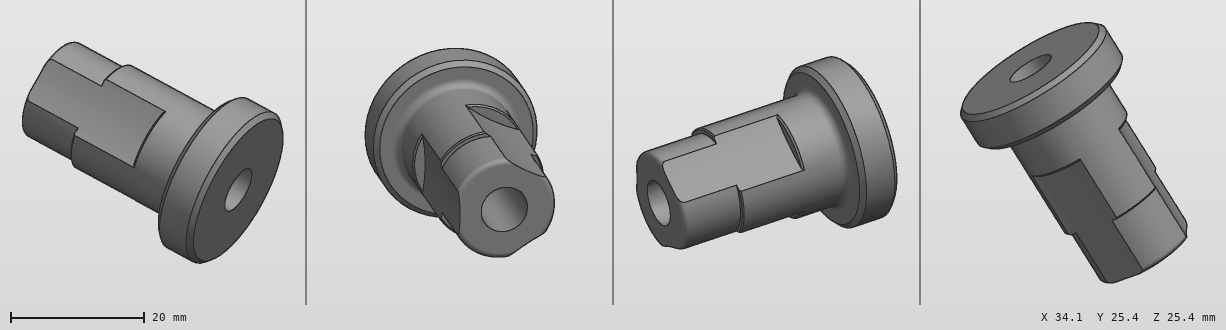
import cadquery as cq
import math

total_length = 34.13
tip_length = 9.6
flat_length = 20.58
flange_thickness = 6.38
flange_start = total_length - flange_thickness

tip_radius = 7.95
body_radius = 8.75
flange_radius = 12.7
bore_radius = 3.6

tip_round = 0.8
shoulder_chamfer = 0.2
flat_bevel_length = 0.3
flat_bevel_depth = 0.25
neck_fillet = 1.23
flange_chamfer = 0.8

ARC_INSET = 1 - math.sqrt(0.5)

flat_count = 3
flat_depth_radius = 6.85
flat_curve_radius = 27.3


def turned_body():
    """Solid of revolution about X, with a rounded tip and a chamfered flange."""
    tip_inset = tip_round * ARC_INSET
    tip_mid = (tip_inset, tip_radius - tip_inset)
    neck_inset = neck_fillet * ARC_INSET
    neck_mid = (flange_start - neck_inset, body_radius + neck_inset)
    return (
        cq.Workplane("XY")
        .moveTo(0, bore_radius)
        .lineTo(0, tip_radius - tip_round)
        .threePointArc(tip_mid, (tip_round, tip_radius))
        .lineTo(tip_length, tip_radius)
        .lineTo(tip_length, body_radius - shoulder_chamfer)
        .lineTo(tip_length + shoulder_chamfer, body_radius)
        .lineTo(flange_start - neck_fillet, body_radius)
        .threePointArc(neck_mid, (flange_start, body_radius + neck_fillet))
        .lineTo(flange_start, flange_radius - flange_chamfer)
        .lineTo(flange_start + flange_chamfer, flange_radius)
        .lineTo(total_length - flange_chamfer, flange_radius)
        .lineTo(total_length, flange_radius - flange_chamfer)
        .lineTo(total_length, bore_radius)
        .close()
        .revolve(360, (0, 0, 0), (1, 0, 0))
    )


def bevel_cone():
    """Short cone kept at the end of each face, so its end wall has a bevelled rim."""
    return (
        cq.Workplane("XY")
        .moveTo(flat_length - flat_bevel_length, 0)
        .lineTo(flat_length - flat_bevel_length, body_radius - flat_bevel_depth)
        .lineTo(flat_length, body_radius)
        .lineTo(flat_length, 0)
        .close()
        .revolve(360, (0, 0, 0), (1, 0, 0))
    )


def flat_cutter(angle):
    """Large cylinder parallel to X that scoops one face; angle 0 faces +Y."""
    return (
        cq.Workplane("YZ")
        .center(flat_depth_radius + flat_curve_radius, 0)
        .circle(flat_curve_radius)
        .extrude(flat_length)
        .cut(bevel_cone())
        .rotate((0, 0, 0), (1, 0, 0), angle)
    )


result = turned_body()
for index in range(flat_count):
    result = result.cut(flat_cutter(index * 360 / flat_count))